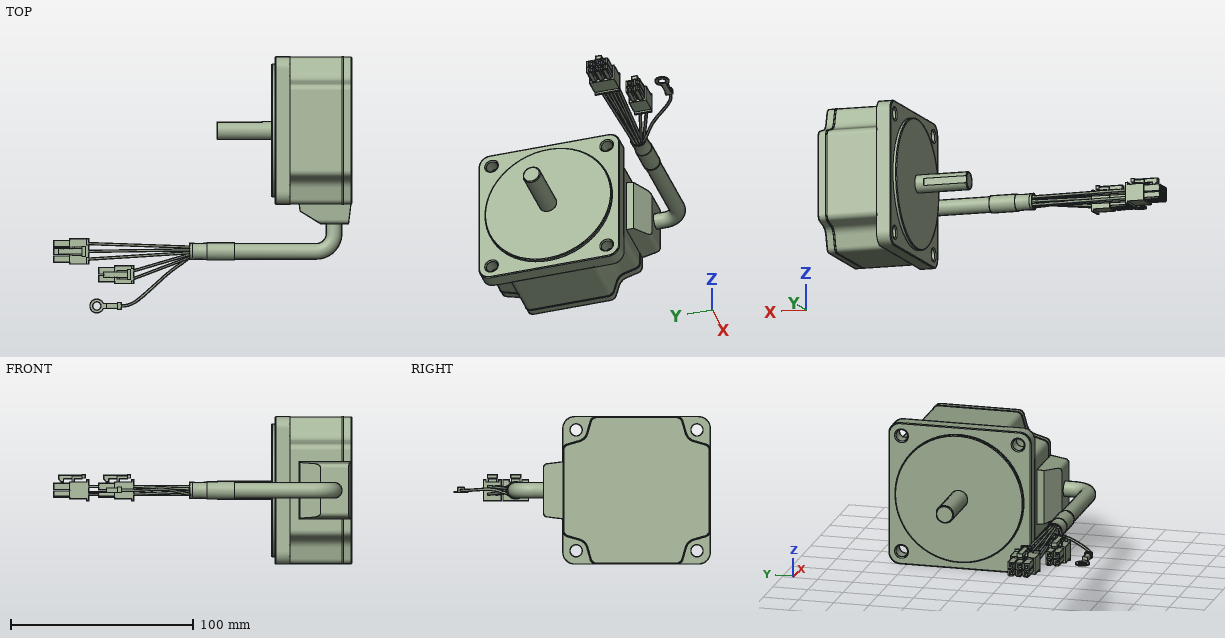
import cadquery as cq
import math


FLANGE_SIDE = 81.1
FLANGE_THICK = 8.2
FLANGE_CORNER = 6.5
EDGE_CHAMFER = 0.5
PILOT_DIA = 73.0
PILOT_HEIGHT = 2.0
SHAFT_DIA = 10.0
SHAFT_LENGTH = 32.0
SHAFT_FLAT_LENGTH = 24.9
SHAFT_FLAT_HEIGHT = 4.6
HOLE_PITCH = 66.4
HOLE_DIA = 6.5
HOLE_CHAMFER = 0.7
HOLE_CHAMFER_ANGLE = 90

BODY_END = 36.9
BODY_INSET = 0.2
BODY_HALF = FLANGE_SIDE / 2 - BODY_INSET
GASKET_THICK = 0.8
COVER_END = 42.3
RELIEF_RADIUS = 6.0
RELIEF_ANGLE = 16.0
RELIEF_ROUND = 3.6

OUTLET_START = 13.3
OUTLET_END = 41.8
OUTLET_WIDTH = 31.5
OUTLET_HEIGHT = 10.8
OUTLET_TAPER = 7.0
OUTLET_ROUND = 2.5
OUTLET_SLOPE_START = (14.1, 4.1)
OUTLET_SLOPE_END = (25.0, OUTLET_HEIGHT)

CABLE_DIA = 8.7
CABLE_BEND = 9.8
CABLE_EXIT_X = 32.5
CABLE_Y = -66.4
SLEEVE_DIA = 9.7
SLEEVE_START = -22.3
SLEEVE_END = -37.2
NECK_X = -41.6
CABLE_END = -46.9
NECK_FLARE_DIA = 9.2
MOUTH_DIA = 7.9
MOUTH_DEPTH = 1.6
WIRE_DIA = 1.3
ROOT_PITCH = 1.5
SIX_PIN_ROOT_Y = 0.8
SIX_PIN_ROOT_Z = 2.1
FOUR_PIN_ROOT_Y = -2.0
FOUR_PIN_ROOT_Z = 0.7
EARTH_ROOT_Y = -1.5
EARTH_ROOT_Z = -2.1
EARTH_BEND_LOW = (-74.9, -92.7)
EARTH_BEND_HIGH = (-56.5, -76.7)

PIN_PITCH = 4.3
CELL_SIDE = 3.6
CELL_LENGTH = 8.8
CELL_CHAMFER = 0.8
SOCKET_SIDE = 2.0
SOCKET_DEPTH = 4.9
SHELL_LENGTH = 10.5
SHELL_HEIGHT = 9.3
SHELL_WIDTH_MARGIN = 5.5
LIP_LENGTH = 1.1
LIP_HEIGHT = 11.6
LIP_NOTCH = 6.9
CONNECTOR_LENGTH = CELL_LENGTH + SHELL_LENGTH
SIX_PIN_FRONT_X = -121.5
SIX_PIN_Y = CABLE_Y
FOUR_PIN_FRONT_X = -96.8
FOUR_PIN_Y = -79.1

LATCH_TOP = 8.4
LATCH_UNDERSIDE = 6.2
LATCH_START = 2.8
LATCH_END = 17.5
LATCH_WIDTH = 3.1
LATCH_HOOK_BOTTOM = 4.6
LATCH_HOOK_LENGTH = 2.8
LATCH_POST_START = 10.0
LATCH_POST_LENGTH = 1.5
LATCH_POST_WIDTH = 4.8
LATCH_RAIL_TOP = 7.9
LATCH_BAR_LENGTH = 1.8
LATCH_BAR_WIDTH = 5.5
LATCH_BAR_BOTTOM = 6.7
LATCH_BAR_TOP = 8.7

RING_X = -97.8
RING_Y = -96.3
RING_DIA = 7.7
RING_HOLE_DIA = 4.5
RING_BOTTOM = -1.3
RING_THICK = 0.7
TONGUE_WIDTH = 3.0
BARREL_START = -92.5
GRIP_START = -86.5
TERMINAL_END = -84.4
BARREL_TOP = 1.3
GRIP_WIDTH = 4.0
GRIP_TOP = 1.8
BARREL_ROUND = 0.7


def block(x_start, x_end, y_centre, width, z_bottom, z_top):
    """Box given by its X range, its width about y_centre and its Z range."""
    size = (x_end - x_start, width, z_top - z_bottom)
    corner = (x_start, y_centre - width / 2, z_bottom)
    return cq.Workplane("XY").box(*size, centered=False).translate(corner)


def rod(x_start, x_end, diameter):
    """Cylinder on the motor axis."""
    return cq.Workplane("YZ", origin=(x_start, 0, 0)).circle(diameter / 2).extrude(x_end - x_start)


def relief_corner():
    """Outline of the material cut from the +Y +Z corner of the motor body."""
    centre = HOLE_PITCH / 2
    lean = math.radians(RELIEF_ANGLE)
    beyond = FLANGE_SIDE
    near = centre - RELIEF_RADIUS * math.cos(lean)
    far = centre - RELIEF_RADIUS * math.sin(lean)
    middle = centre - RELIEF_RADIUS / math.sqrt(2)
    wall_end = near - (beyond - far) * math.tan(lean)
    return (
        cq.Workplane("YZ")
        .moveTo(wall_end, beyond)
        .lineTo(near, far)
        .threePointArc((middle, middle), (far, near))
        .lineTo(beyond, wall_end)
        .lineTo(beyond, beyond)
        .close()
    )


def body_outline():
    """Square outline with the four screw reliefs and rounded relief edges, at x = 0."""
    prism = cq.Workplane("YZ").rect(FLANGE_SIDE, FLANGE_SIDE).extrude(1.6)
    relief = relief_corner().extrude(1.6)
    for quarter in range(4):
        prism = prism.cut(relief.rotate((0, 0, 0), (1, 0, 0), 90 * quarter))
    prism = prism.faces(">Y or <Y or >Z or <Z").edges("|X").fillet(RELIEF_ROUND)
    return prism.faces("<X").val().outerWire()


def body_section(x_start, x_end, inset):
    """Solid with the body outline moved inwards by inset."""
    section = cq.Workplane("YZ").add(body_outline()).toPending()
    return section.offset2D(-inset).extrude(x_end - x_start).translate((x_start, 0, 0))


def make_body():
    """Motor body, the gasket standing proud of it and the chamfered end cover."""
    gasket_end = BODY_END + GASKET_THICK
    gasket = body_section(BODY_END, gasket_end, 0)
    body = body_section(FLANGE_THICK, BODY_END, BODY_INSET)
    cover = body_section(gasket_end, COVER_END, BODY_INSET).faces(">X").chamfer(EDGE_CHAMFER)
    return body.union(gasket).union(cover)


def make_flange():
    """Rounded square plate with chamfered mounting holes and the round pilot."""
    plate = (
        cq.Workplane("YZ")
        .rect(FLANGE_SIDE, FLANGE_SIDE)
        .extrude(FLANGE_THICK)
        .edges("|X")
        .fillet(FLANGE_CORNER)
        .faces("<X")
        .chamfer(EDGE_CHAMFER)
    )
    mouth_dia = HOLE_DIA + 2 * HOLE_CHAMFER
    plate = (
        plate.faces("<X")
        .workplane(centerOption="CenterOfMass")
        .rect(HOLE_PITCH, HOLE_PITCH, forConstruction=True)
        .vertices()
        .cskHole(HOLE_DIA, mouth_dia, HOLE_CHAMFER_ANGLE)
    )
    pilot = rod(-PILOT_HEIGHT, 0, PILOT_DIA).faces("<X").chamfer(EDGE_CHAMFER)
    return plate.union(pilot)


def make_shaft():
    """Shaft with a chamfered tip and a flat on its +Y side."""
    shaft = rod(-SHAFT_LENGTH, 0, SHAFT_DIA).faces("<X").chamfer(EDGE_CHAMFER)
    flat_end = SHAFT_FLAT_LENGTH - SHAFT_LENGTH
    flat_centre = SHAFT_FLAT_HEIGHT + SHAFT_DIA / 2
    flat_cut = block(-SHAFT_LENGTH, flat_end, flat_centre, SHAFT_DIA, -SHAFT_DIA, SHAFT_DIA)
    return shaft.cut(flat_cut)


def make_outlet():
    """Tapered cable outlet on the -Y side, with a sloped front."""
    base_y = -BODY_HALF
    middle_x = (OUTLET_START + OUTLET_END) / 2
    outlet = (
        cq.Workplane("XZ", origin=(middle_x, base_y, 0))
        .rect(OUTLET_END - OUTLET_START, OUTLET_WIDTH)
        .extrude(OUTLET_HEIGHT, taper=OUTLET_TAPER)
    )
    outlet = outlet.faces("<Y").edges("|X").fillet(OUTLET_ROUND)
    slope_x, slope_height = OUTLET_SLOPE_START
    top_x, top_height = OUTLET_SLOPE_END
    rise = (top_height - slope_height) / (top_x - slope_x)
    beyond_x = slope_x - OUTLET_HEIGHT
    beyond_y = base_y - slope_height + rise * OUTLET_HEIGHT
    slope_cut = (
        cq.Workplane("XY")
        .moveTo(top_x, base_y - top_height)
        .lineTo(beyond_x, beyond_y)
        .lineTo(beyond_x, base_y - top_height)
        .close()
        .extrude(OUTLET_WIDTH, both=True)
    )
    return outlet.cut(slope_cut)


def make_motor():
    return make_flange().union(make_shaft()).union(make_body()).union(make_outlet())


def make_latch():
    """Latch arm with its post, hook and finger bar, centred on y = 0, front at x = 0."""
    hook = (
        cq.Workplane("XZ")
        .moveTo(LATCH_START, LATCH_TOP)
        .lineTo(LATCH_END - LATCH_BAR_LENGTH, LATCH_TOP)
        .lineTo(LATCH_END - LATCH_BAR_LENGTH, LATCH_UNDERSIDE)
        .lineTo(LATCH_START + LATCH_HOOK_LENGTH, LATCH_UNDERSIDE)
        .lineTo(LATCH_START + LATCH_HOOK_LENGTH, LATCH_HOOK_BOTTOM)
        .lineTo(LATCH_START + LATCH_HOOK_LENGTH / 2, LATCH_HOOK_BOTTOM)
        .lineTo(LATCH_START, LATCH_UNDERSIDE)
        .close()
        .extrude(LATCH_WIDTH / 2, both=True)
    )
    post_end = LATCH_POST_START + LATCH_POST_LENGTH
    bar_start = LATCH_END - LATCH_BAR_LENGTH
    post = block(LATCH_POST_START, post_end, 0, LATCH_POST_WIDTH, 0, LATCH_RAIL_TOP)
    rails = block(LATCH_POST_START, bar_start, 0, LATCH_POST_WIDTH, LATCH_UNDERSIDE, LATCH_RAIL_TOP)
    bar = block(bar_start, LATCH_END, 0, LATCH_BAR_WIDTH, LATCH_BAR_BOTTOM, LATCH_BAR_TOP)
    return hook.union(post).union(rails).union(bar)


def pin_offsets(columns):
    """Y and Z places of the pins about the connector centre, in two rows."""
    middle = (columns - 1) / 2
    places = []
    for column in range(columns):
        for row in (-0.5, 0.5):
            places.append(((middle - column) * PIN_PITCH, row * PIN_PITCH))
    return places


def make_connector(columns, front_x, centre_y):
    """Two-row plug housing with its latch on top."""
    width = (columns - 1) * PIN_PITCH + SHELL_WIDTH_MARGIN
    lip_start = CONNECTOR_LENGTH - LIP_LENGTH
    housing = block(CELL_LENGTH, CONNECTOR_LENGTH, 0, width, -SHELL_HEIGHT / 2, SHELL_HEIGHT / 2)
    lip = block(lip_start, CONNECTOR_LENGTH, 0, width, -LIP_HEIGHT / 2, LIP_HEIGHT / 2)
    notch = block(lip_start, CONNECTOR_LENGTH, 0, LIP_NOTCH, SHELL_HEIGHT / 2, LIP_HEIGHT)
    housing = housing.union(lip.cut(notch))
    for y, z in pin_offsets(columns):
        cell = block(0, CELL_LENGTH, y, CELL_SIDE, z - CELL_SIDE / 2, z + CELL_SIDE / 2)
        if z < 0:
            cell = cell.faces("<Z").edges("|X").chamfer(CELL_CHAMFER)
        housing = housing.union(cell)
        socket = block(0, SOCKET_DEPTH, y, SOCKET_SIDE, z - SOCKET_SIDE / 2, z + SOCKET_SIDE / 2)
        housing = housing.cut(socket)
    return housing.union(make_latch()).translate((front_x, centre_y, 0))


def make_ring_terminal():
    """Ring tongue, barrel and insulation grip of the earth lead."""
    ring_top = RING_BOTTOM + RING_THICK
    ring_plane = cq.Workplane("XY", origin=(RING_X, RING_Y, RING_BOTTOM))
    ring = ring_plane.circle(RING_DIA / 2).extrude(RING_THICK)
    hole = ring_plane.circle(RING_HOLE_DIA / 2).extrude(RING_THICK)
    tongue = block(RING_X, TERMINAL_END, RING_Y, TONGUE_WIDTH, RING_BOTTOM, ring_top)
    barrel = block(BARREL_START, GRIP_START, RING_Y, TONGUE_WIDTH, RING_BOTTOM, BARREL_TOP)
    barrel = barrel.faces(">Z").edges("|X").fillet(BARREL_ROUND)
    grip = block(GRIP_START, TERMINAL_END, RING_Y, GRIP_WIDTH, RING_BOTTOM, GRIP_TOP)
    grip = grip.faces(">Z").edges("|X").fillet(BARREL_ROUND)
    return ring.union(tongue).cut(hole).union(barrel).union(grip)


def make_sheath():
    """Bent cable sheath with its end sleeve, waisted neck and open mouth."""
    bend_mid = CABLE_BEND * (1 - 1 / math.sqrt(2))
    outlet_face_y = -BODY_HALF - OUTLET_HEIGHT
    path = (
        cq.Workplane("XY")
        .moveTo(CABLE_EXIT_X, outlet_face_y)
        .lineTo(CABLE_EXIT_X, CABLE_Y + CABLE_BEND)
        .threePointArc(
            (CABLE_EXIT_X - bend_mid, CABLE_Y + bend_mid),
            (CABLE_EXIT_X - CABLE_BEND, CABLE_Y),
        )
        .lineTo(SLEEVE_START, CABLE_Y)
    )
    exit_plane = cq.Workplane("XZ", origin=(CABLE_EXIT_X, outlet_face_y, 0))
    cable = exit_plane.circle(CABLE_DIA / 2).sweep(path)
    ending = (
        cq.Workplane("XY")
        .moveTo(SLEEVE_START, 0)
        .lineTo(SLEEVE_START, SLEEVE_DIA / 2)
        .lineTo(SLEEVE_END, SLEEVE_DIA / 2)
        .lineTo(SLEEVE_END, NECK_FLARE_DIA / 2)
        .lineTo(NECK_X, CABLE_DIA / 2)
        .lineTo(CABLE_END, NECK_FLARE_DIA / 2)
        .lineTo(CABLE_END, MOUTH_DIA / 2)
        .lineTo(CABLE_END + MOUTH_DEPTH, MOUTH_DIA / 2)
        .lineTo(CABLE_END + MOUTH_DEPTH, 0)
        .close()
        .revolve(360, (0, 0, 0), (1, 0, 0))
    )
    return cable.union(ending.translate((0, CABLE_Y, 0)))


def straight_wire(start, end):
    """Wire between two points, with both ends cut square to X."""
    circle = cq.Wire.makeCircle(WIRE_DIA / 2, start, cq.Vector(1, 0, 0))
    return cq.Workplane(cq.Solid.extrudeLinear(circle, [], end - start))


def earth_wire(root_x):
    """Curved wire from the cable mouth to the ring terminal."""
    start = cq.Vector(TERMINAL_END, RING_Y, 0)
    low = cq.Vector(*EARTH_BEND_LOW, 0)
    high = cq.Vector(*EARTH_BEND_HIGH, 0)
    root = cq.Vector(root_x, CABLE_Y + EARTH_ROOT_Y, EARTH_ROOT_Z)
    path = cq.Workplane(
        cq.Edge.makeSpline(
            [start, low, high, root],
            tangents=[cq.Vector(1, 0, 0), cq.Vector(1, 1, 0)],
        )
    )
    return cq.Workplane("YZ", origin=start.toTuple()).circle(WIRE_DIA / 2).sweep(path)


def make_cable():
    """Sheath with the ten connector leads and the earth lead joined to it."""
    cable = make_sheath()
    root_x = CABLE_END + MOUTH_DEPTH
    bundles = (
        (3, SIX_PIN_FRONT_X, SIX_PIN_Y, SIX_PIN_ROOT_Y, SIX_PIN_ROOT_Z),
        (2, FOUR_PIN_FRONT_X, FOUR_PIN_Y, FOUR_PIN_ROOT_Y, FOUR_PIN_ROOT_Z),
    )
    for columns, front_x, centre_y, root_y, root_z in bundles:
        for y, z in pin_offsets(columns):
            start = cq.Vector(front_x + CONNECTOR_LENGTH, centre_y + y, z)
            root = cq.Vector(
                root_x,
                CABLE_Y + root_y + y / PIN_PITCH * ROOT_PITCH,
                math.copysign(root_z, z),
            )
            cable = cable.union(straight_wire(start, root))
    return cable.union(earth_wire(root_x))


motor = make_motor()
cable = make_cable()
six_pin_connector = make_connector(3, SIX_PIN_FRONT_X, SIX_PIN_Y)
four_pin_connector = make_connector(2, FOUR_PIN_FRONT_X, FOUR_PIN_Y)
ring_terminal = make_ring_terminal()

result = cq.Compound.makeCompound(
    [
        motor.solids().val(),
        cable.solids().val(),
        six_pin_connector.solids().val(),
        four_pin_connector.solids().val(),
        ring_terminal.solids().val(),
    ]
)